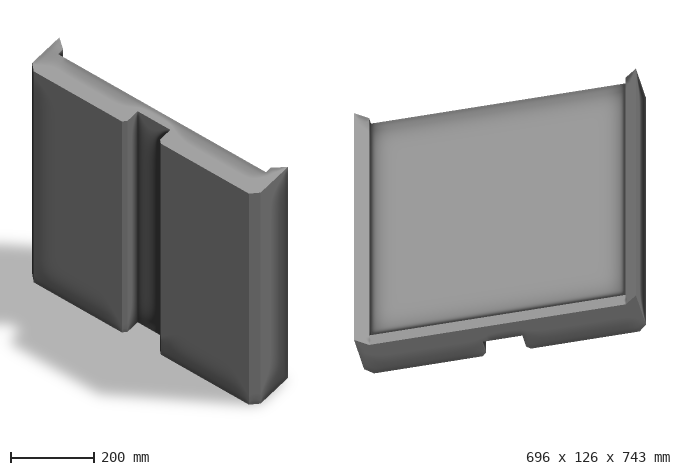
import cadquery as cq

width = 696.0
depth = 126.0
height = 743.0

flange_width = 31.0
flange_rise = 25.0
back_y = depth - flange_rise

corner_chamfer = 20.0
groove_width = 99.5
groove_depth = 50.0
groove_chamfer = 10.0

recess_depth = 20.0
foot_height = flange_width

half_width = width / 2
half_groove = groove_width / 2
half_back = half_width - flange_width


def make_panel():
    """Extrude the mirror-symmetric cross-section over the full height."""
    return (
        cq.Workplane("XY")
        .moveTo(0, groove_depth)
        .lineTo(half_groove, groove_depth)
        .lineTo(half_groove, groove_chamfer)
        .lineTo(half_groove + groove_chamfer, 0)
        .lineTo(half_width - corner_chamfer, 0)
        .lineTo(half_width, corner_chamfer)
        .lineTo(half_width, depth)
        .lineTo(half_back, back_y)
        .lineTo(0, back_y)
        .mirrorY()
        .extrude(height)
    )


def make_recess():
    """Back recess, open at the top, with a concave round running out onto the foot."""
    floor_y = back_y - recess_depth
    return (
        cq.Workplane("YZ", origin=(-half_back, 0, 0))
        .moveTo(back_y, foot_height)
        .radiusArc((floor_y, foot_height + recess_depth), recess_depth)
        .lineTo(floor_y, height)
        .lineTo(back_y, height)
        .close()
        .extrude(2 * half_back)
    )


result = make_panel().cut(make_recess())